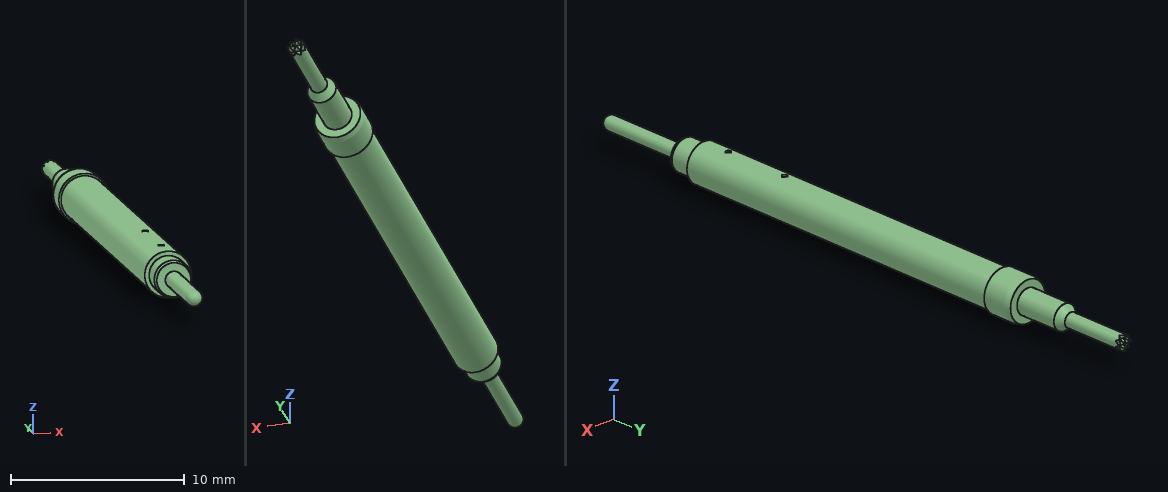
import cadquery as cq
import math

LENGTH = 43.3
CONE_START = 4.55
CONE_END = 5.05
COLLAR_START = 8.15
COLLAR_END = 10.2
TUBE_END = 35.1
NOSE_END = 36.85

PIN_RADIUS = 1.0 / 2
TAIL_RADIUS = 1.75 / 2
COLLAR_RADIUS = 3.0 / 2
TUBE_RADIUS = 2.73 / 2
NOSE_RADIUS = 2.2 / 2

COLLAR_TAPER = 0.4
NOSE_TAPER = 0.2
TAPER_DROP = 0.11

TIP_HEIGHT = 0.48

CROWN_DEPTH = 0.35
CROWN_PITCH = 0.4
CROWN_ANGLES = (0, 90)

DIMPLE_RADIUS = 0.17
DIMPLE_DEPTH = 0.15
DIMPLE_STATIONS = (28.4, 33.1)


def y_at(station):
    """Y coordinate of a distance from the crown end."""
    return LENGTH / 2 - station


def turned_body():
    """All round sections, revolved about Y from one half outline."""
    cap_radius = (PIN_RADIUS**2 + TIP_HEIGHT**2) / (2 * TIP_HEIGHT)
    cap_half_angle = math.asin(PIN_RADIUS / cap_radius) / 2
    cap_mid_radius = cap_radius * math.sin(cap_half_angle)
    cap_mid_station = LENGTH - cap_radius * (1 - math.cos(cap_half_angle))

    outline = (
        cq.Workplane("XY")
        .moveTo(0, y_at(0))
        .lineTo(PIN_RADIUS, y_at(0))
        .lineTo(PIN_RADIUS, y_at(CONE_START))
        .lineTo(TAIL_RADIUS, y_at(CONE_END))
        .lineTo(TAIL_RADIUS, y_at(COLLAR_START))
        .lineTo(COLLAR_RADIUS - TAPER_DROP, y_at(COLLAR_START))
        .lineTo(COLLAR_RADIUS, y_at(COLLAR_START + COLLAR_TAPER))
        .lineTo(COLLAR_RADIUS, y_at(COLLAR_END))
        .lineTo(TUBE_RADIUS, y_at(COLLAR_END))
        .lineTo(TUBE_RADIUS, y_at(TUBE_END))
        .lineTo(NOSE_RADIUS, y_at(TUBE_END))
        .lineTo(NOSE_RADIUS, y_at(NOSE_END - NOSE_TAPER))
        .lineTo(NOSE_RADIUS - TAPER_DROP, y_at(NOSE_END))
        .lineTo(PIN_RADIUS, y_at(NOSE_END))
        .lineTo(PIN_RADIUS, y_at(LENGTH - TIP_HEIGHT))
        .threePointArc((cap_mid_radius, y_at(cap_mid_station)), (0, y_at(LENGTH)))
        .close()
    )
    return outline.revolve(360, (0, 0, 0), (0, 1, 0))


def crown_grooves(angle):
    """Two parallel V grooves across the crown end, turned about Y by the given angle."""
    grooves = (
        cq.Workplane("XY")
        .polyline(
            [
                (-CROWN_PITCH, y_at(0)),
                (-CROWN_PITCH / 2, y_at(CROWN_DEPTH)),
                (0, y_at(0)),
                (CROWN_PITCH / 2, y_at(CROWN_DEPTH)),
                (CROWN_PITCH, y_at(0)),
            ]
        )
        .close()
        .extrude(PIN_RADIUS, both=True)
    )
    return grooves.rotate((0, 0, 0), (0, 1, 0), angle)


def dimple(station):
    """Shallow round recess in the top of the tube."""
    return (
        cq.Workplane("XY", origin=(0, y_at(station), TUBE_RADIUS - DIMPLE_DEPTH))
        .circle(DIMPLE_RADIUS)
        .extrude(2 * DIMPLE_DEPTH)
    )


result = turned_body()
for crown_angle in CROWN_ANGLES:
    result = result.cut(crown_grooves(crown_angle))
for dimple_station in DIMPLE_STATIONS:
    result = result.cut(dimple(dimple_station))